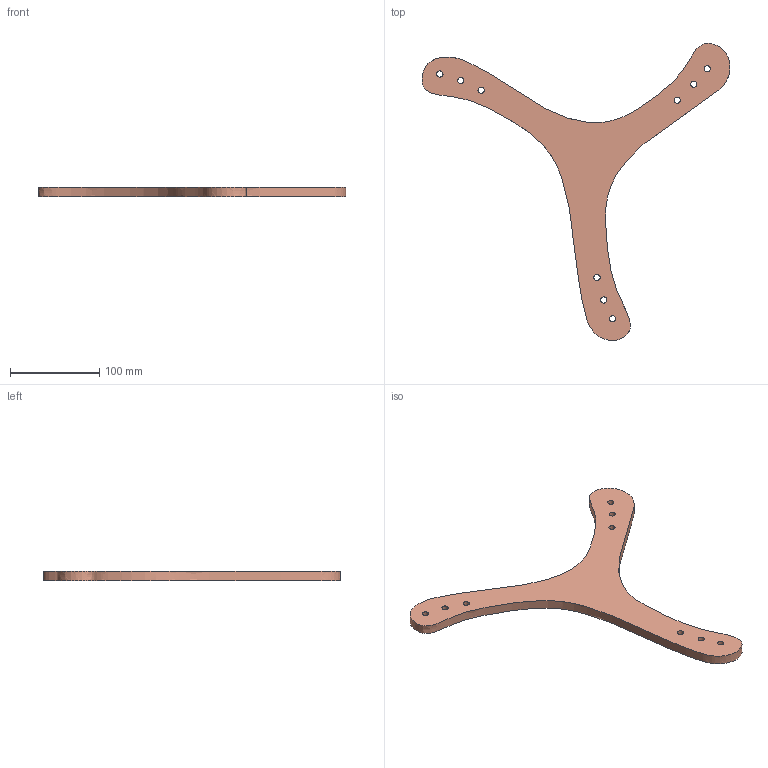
import cadquery as cq

thickness = 10.46
hole_diameter = 7.0

lower_to_left_side = [(3.0, -99.4), (-11.1, -1.9), (-27.4, 40.2), (-89.2, 89.2), (-137.4, 106.6)]
left_tip = [(-171.0, 117.9), (-167.6, 141.8), (-133.7, 150.0), (-118.9, 144.6)]
left_to_right_side = [(-15.6, 85.1), (32.8, 78.3), (88.7, 106.5), (124.0, 142.6)]
right_tip = [(144.0, 166.1), (165.6, 158.7), (171.1, 129.7), (151.0, 106.5)]
right_to_lower_side = [(64.5, 43.3), (37.7, 3.1), (34.3, -53.5), (50.9, -122.6)]
lower_tip = [(58.9, -157.6), (46.3, -166.1), (22.6, -159.8), (7.9, -127.3)]

right_arm_holes = [(147.1, 138.1), (132.1, 120.7), (113.5, 102.8)]
lower_arm_holes = [(41.0, -142.3), (31.2, -121.2), (23.5, -96.0)]
left_arm_holes = [(-152.7, 132.2), (-129.2, 124.9), (-106.5, 114.0)]


def make_plate():
    """Extrude the closed periodic curve through the outline points."""
    outline = (
        lower_to_left_side
        + left_tip
        + left_to_right_side
        + right_tip
        + right_to_lower_side
        + lower_tip
    )
    return cq.Workplane("XY").spline(outline, periodic=True).close().extrude(thickness)


def drill_arm(plate, hole_centres):
    """Drill one arm's holes through the full thickness."""
    drills = (
        cq.Workplane("XY")
        .pushPoints(hole_centres)
        .circle(hole_diameter / 2)
        .extrude(thickness)
    )
    return plate.cut(drills)


result = make_plate()
for arm_holes in (right_arm_holes, lower_arm_holes, left_arm_holes):
    result = drill_arm(result, arm_holes)